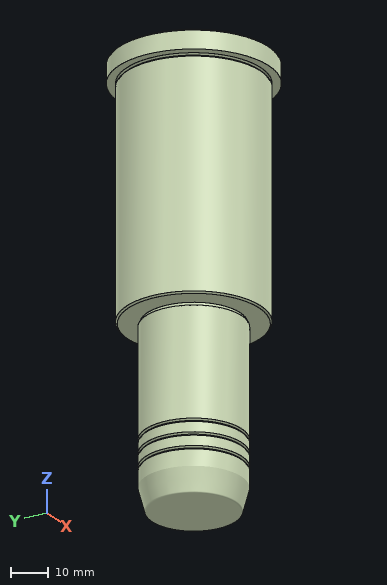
import cadquery as cq
import math

total_length = 131.0
flange_height = 6.0
body_length = 70.0
flange_bottom = total_length - flange_height
shoulder = flange_bottom - body_length

flange_radius = 47.0 / 2
body_radius = 42.0 / 2
pin_radius = 30.0 / 2

flange_chamfer = 0.5
body_chamfer = 0.5
tip_fillet = 0.5

undercut_width = 1.0
undercut_depth = 0.5

relief_width = 1.0
relief_depth = 0.5

groove_count = 3
groove_width = 1.0
groove_depth = 0.45
groove_pitch = 4.0
lowest_groove_bottom = 12.0

taper_length = 7.0
taper_angle = 15.0
tip_radius = pin_radius - taper_length * math.tan(math.radians(taper_angle))


def cylinder(radius, bottom, top):
    """Upright cylinder on the Z axis between two heights."""
    return cq.Workplane("XY").workplane(offset=bottom).circle(radius).extrude(top - bottom)


def v_ring(radius, bottom, width, depth):
    """Ring with a triangular section, pointing inward from the given radius."""
    section = (
        cq.Workplane("XZ")
        .moveTo(radius, bottom)
        .lineTo(radius - depth, bottom + width / 2)
        .lineTo(radius, bottom + width)
        .close()
    )
    return section.revolve(360, (0, 0, 0), (0, 1, 0))


def make_flange():
    """Head disc with a chamfered top rim."""
    disc = cylinder(flange_radius, flange_bottom, total_length)
    return disc.faces(">Z").edges().chamfer(flange_chamfer)


def make_body():
    """Large cylinder with a chamfered shoulder and a V relief at its top."""
    barrel = cylinder(body_radius, shoulder, flange_bottom)
    barrel = barrel.faces("<Z").edges().chamfer(body_chamfer)
    return barrel.cut(v_ring(body_radius, flange_bottom - relief_width, relief_width, relief_depth))


def make_tip():
    """Tapered lead-in with a rounded lower edge."""
    cone = cq.Solid.makeCone(tip_radius, pin_radius, taper_length)
    return cq.Workplane("XY").add(cone).faces("<Z").edges().fillet(tip_fillet)


def make_pin():
    """Small cylinder with its tip, ring grooves and undercut neck."""
    neck_bottom = shoulder - undercut_width
    pin = cylinder(pin_radius, taper_length, neck_bottom).union(make_tip())
    for index in range(groove_count):
        groove_bottom = lowest_groove_bottom + index * groove_pitch
        pin = pin.cut(v_ring(pin_radius, groove_bottom, groove_width, groove_depth))
    neck = cylinder(pin_radius - undercut_depth, neck_bottom, shoulder)
    return pin.union(neck)


result = make_flange().union(make_body()).union(make_pin())